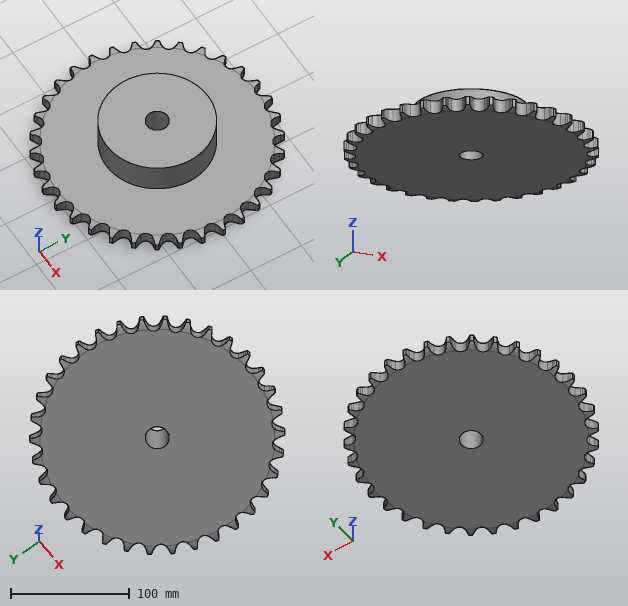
import cadquery as cq
import math

tooth_count = 34
tip_radius = 107.3
pitch_radius = 103.2
roller_diameter = 12.0
plate_thickness = 11.2
overall_height = 40.0
hub_diameter = 100.0
bore_diameter = 20.0

relief_start_radius = 98.7
relief_arc_radius = 19.0

tooth_angle = 360 / tooth_count
seat_radius = 0.5025 * roller_diameter
working_center_distance = 0.8 * roller_diameter
topping_center_distance = 1.4 * roller_diameter
seat_end_angle = 35 + 60 / tooth_count
working_arc_angle = 18 - 56 / tooth_count


def polar_point(center, radius, degrees):
    """Point at a radius and direction from a center."""
    angle = math.radians(degrees)
    return (center[0] + radius * math.cos(angle), center[1] + radius * math.sin(angle))


def mirrored(point):
    """Point reflected across the center line of a tooth gap."""
    return (-point[0], point[1])


def make_plate():
    """Round plate with a curved relief toward the tips on both faces."""
    relief_width = tip_radius - relief_start_radius

    def relief_drop(distance):
        return relief_arc_radius - math.sqrt(relief_arc_radius**2 - distance**2)

    middle_radius = relief_start_radius + relief_width / 2
    middle_drop = relief_drop(relief_width / 2)
    tip_drop = relief_drop(relief_width)
    return (
        cq.Workplane("XZ")
        .moveTo(0, 0)
        .lineTo(relief_start_radius, 0)
        .threePointArc((middle_radius, middle_drop), (tip_radius, tip_drop))
        .lineTo(tip_radius, plate_thickness - tip_drop)
        .threePointArc(
            (middle_radius, plate_thickness - middle_drop),
            (relief_start_radius, plate_thickness),
        )
        .lineTo(0, plate_thickness)
        .close()
        .revolve(360, (0, 0, 0), (0, 1, 0))
    )


def make_tooth_gap():
    """Cutter for one gap, centered on +Y: seat, working arcs, short straights, topping arcs."""
    seat_center = (0, pitch_radius)
    seat_bottom = (0, pitch_radius - seat_radius)
    seat_end = polar_point(seat_center, seat_radius, -seat_end_angle)

    working_center = polar_point(seat_center, working_center_distance, 180 - seat_end_angle)
    working_radius = working_center_distance + seat_radius
    working_end_angle = working_arc_angle - seat_end_angle
    working_middle = polar_point(
        working_center, working_radius, working_arc_angle / 2 - seat_end_angle
    )
    working_end = polar_point(working_center, working_radius, working_end_angle)

    topping_center = polar_point(seat_center, topping_center_distance, -tooth_angle / 2)
    center_offset = (topping_center[0] - working_end[0], topping_center[1] - working_end[1])
    flank_angle = math.radians(working_end_angle)
    topping_radius = (
        center_offset[0] * math.cos(flank_angle) + center_offset[1] * math.sin(flank_angle)
    )
    topping_start_angle = 180 + working_end_angle
    topping_start = polar_point(topping_center, topping_radius, topping_start_angle)
    tip_rise = tip_radius - topping_center[1]
    topping_end_angle = 180 - math.degrees(math.asin(tip_rise / topping_radius))
    topping_middle_angle = (topping_start_angle + topping_end_angle) / 2
    topping_middle = polar_point(topping_center, topping_radius, topping_middle_angle)
    topping_end = polar_point(topping_center, topping_radius, topping_end_angle)

    return (
        cq.Workplane("XY")
        .moveTo(*mirrored(seat_end))
        .threePointArc(seat_bottom, seat_end)
        .threePointArc(working_middle, working_end)
        .lineTo(*topping_start)
        .threePointArc(topping_middle, topping_end)
        .lineTo(*mirrored(topping_end))
        .threePointArc(mirrored(topping_middle), mirrored(topping_start))
        .lineTo(*mirrored(working_end))
        .threePointArc(mirrored(working_middle), mirrored(seat_end))
        .close()
        .extrude(plate_thickness)
    )


sprocket = make_plate()
tooth_gap = make_tooth_gap()
for gap_index in range(tooth_count):
    gap_direction = (gap_index + 0.5) * tooth_angle
    sprocket = sprocket.cut(tooth_gap.rotate((0, 0, 0), (0, 0, 1), gap_direction - 90))

hub = cq.Workplane("XY").circle(hub_diameter / 2).extrude(overall_height)
bore = cq.Workplane("XY").circle(bore_diameter / 2).extrude(overall_height)
result = sprocket.union(hub).cut(bore)